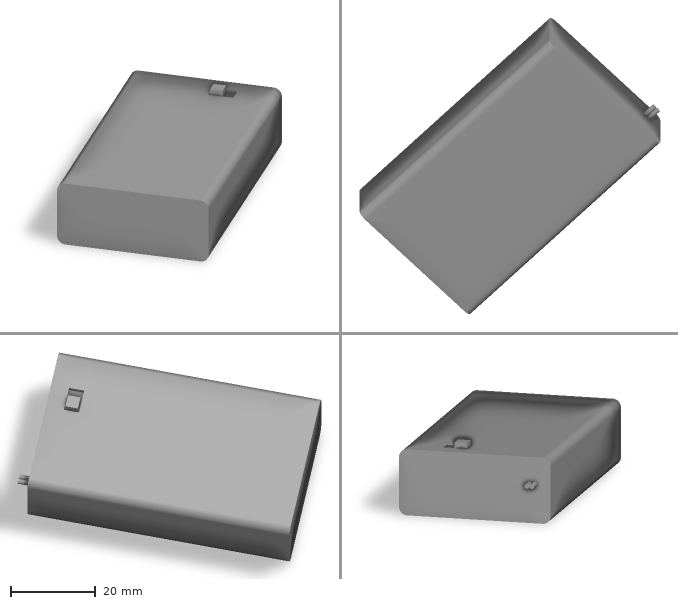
import cadquery as cq

total_length = 66.0
wire_length = 3.05
case_width = 37.0
case_length = total_length - wire_length
case_height = 16.0
corner_radius = 2.0

cover_height = 5.8
front_wall = 2.0

window_length_x = 6.0
window_length_y = 3.6
window_depth = 1.0
window_center_x = 5.9
window_rear_distance = 6.15
window_center_y = case_length - window_rear_distance
knob_side = 3.05
knob_rise = 1.3
knob_gap = 0.25
knob_center_x = window_center_x - window_length_x / 2 + knob_gap + knob_side / 2
knob_center_y = window_center_y + window_length_y / 2 - knob_gap - knob_side / 2

wire_diameter = 1.2
wire_center_z = 9.6
wire_pair_side_distance = 3.25
first_wire_x = -case_width / 2 + wire_pair_side_distance + wire_diameter / 2
wire_count = 2


def make_case_block():
    """Whole case outline: a box with its four long edges rounded."""
    return (
        cq.Workplane("XY")
        .box(case_width, case_length, case_height, centered=(True, False, False))
        .edges("|Y")
        .fillet(corner_radius)
    )


def make_cover_space():
    """Space of the cover, from the front wall to the rear end."""
    return (
        cq.Workplane("XY")
        .box(case_width, case_length - front_wall, cover_height, centered=(True, False, False))
        .translate((0, front_wall, 0))
    )


def make_switch_window():
    """Rectangular recess for the switch."""
    return (
        cq.Workplane("XY")
        .box(window_length_x, window_length_y, window_depth, centered=(True, True, False))
        .translate((window_center_x, window_center_y, case_height - window_depth))
    )


def make_knob():
    """Square switch knob, from the window floor to above the top face."""
    return (
        cq.Workplane("XY")
        .box(knob_side, knob_side, window_depth + knob_rise, centered=(True, True, False))
        .translate((knob_center_x, knob_center_y, case_height - window_depth))
    )


def make_housing():
    """Case without the cover, with the switch window and its knob."""
    return make_case_block().cut(make_cover_space()).cut(make_switch_window()).union(make_knob())


def make_cover():
    """Battery cover, following the rounded lower corners of the case."""
    return make_case_block().intersect(make_cover_space())


def make_wire(center_x):
    """Straight wire end, starting at the rear face of the case."""
    return (
        cq.Workplane("XZ", origin=(center_x, case_length, wire_center_z))
        .circle(wire_diameter / 2)
        .extrude(-wire_length)
    )


housing = make_housing()
cover = make_cover()
wires = [make_wire(first_wire_x + index * wire_diameter) for index in range(wire_count)]

result = cq.Compound.makeCompound([housing.val(), cover.val(), *[wire.val() for wire in wires]])